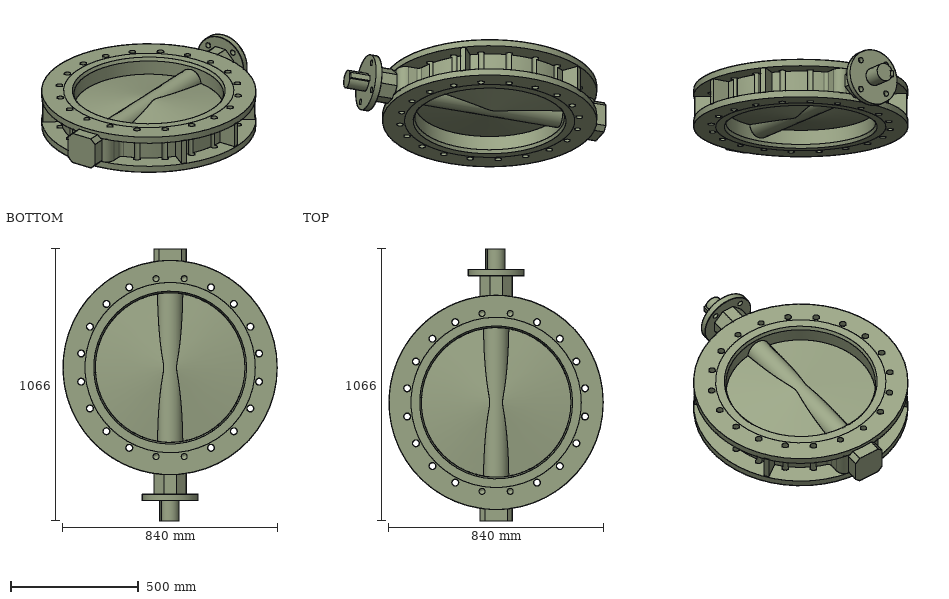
import cadquery as cq
import math

OVERALL_LENGTH = 1066.0
FACE_TO_FACE = 154.0
FLANGE_RADIUS = 420.0
FLANGE_GAP = 100.0
WALL_RADIUS = 345.0

LINER_RADIUS = 334.0
BORE_RADIUS = 293.0
BORE_BEVEL_RADIAL = 6.0
BORE_BEVEL_AXIAL = 14.0

BOLT_CIRCLE_RADIUS = 353.0
BOLT_COUNT = 20
BOLT_HOLE_RADIUS = 13.0
TAPPED_HOLE_RADIUS = 12.0
TAPPED_HOLE_DEPTH = 43.0
DRILL_POINT_ANGLE = 118.0

RIB_ANGLES = (0, 36, 144, 216, 324)
RIB_THICKNESS = 20.0
RIB_TIP_RADIUS = 416.0

BOSS_HALF_WIDTH = 95.0
BOSS_REACH = 415.0
BOSS_CORNER_RADIUS = 36.0
BOSS_ROOT_RADIUS = 16.0

NECK_WIDTH = 127.0
NECK_CHAMFER = 39.0
HUB_CHAMFER = 19.0
HUB_END = -465.0
STEM_END = OVERALL_LENGTH + HUB_END

TOP_FLANGE_RADIUS = 110.0
TOP_FLANGE_THICKNESS = 26.0
TOP_FLANGE_CHAMFER = 1.0
TOP_FLANGE_FACE = 521.0
ACTUATOR_BOLT_CIRCLE_RADIUS = 83.0
ACTUATOR_HOLE_RADIUS = 11.0

STEM_RADIUS = 35.0
STEM_FOOT = -405.0
KEY_WIDTH = 22.0
KEY_HEIGHT = 14.0
KEY_PROJECTION = 6.0

DISC_HUB_RADIUS = 50.0
DISC_RIM_HALF_THICKNESS = 5.0
DISC_APEX_HEIGHT = 47.0

HALF_HEIGHT = FACE_TO_FACE / 2
BOLT_PITCH = 360.0 / BOLT_COUNT
WALL_MIDDLE = (LINER_RADIUS + WALL_RADIUS) / 2
KEY_OUTER = STEM_RADIUS + KEY_PROJECTION


def cylinder_along_z(radius, bottom, top):
    """Solid cylinder along Z."""
    return cq.Workplane("XY").workplane(offset=bottom).circle(radius).extrude(top - bottom)


def rod_along_y(radius, start, end, x=0, z=0):
    """Solid cylinder along Y."""
    base = cq.Vector(x, start, z)
    return cq.Workplane(cq.Solid.makeCylinder(radius, end - start, base, cq.Vector(0, 1, 0)))


def octagon_along_y(chamfer, start, end):
    """Square bar along Y with its four long edges chamfered."""
    middle = (start + end) / 2
    bar = cq.Workplane("XY").box(NECK_WIDTH, end - start, NECK_WIDTH)
    return bar.edges("|Y").chamfer(chamfer).translate((0, middle, 0))


def ring_wall():
    """Wall between the flanges, thickened into rounded bosses at the stem."""
    half_gap = FLANGE_GAP / 2
    bosses = cq.Workplane("XY").box(2 * BOSS_HALF_WIDTH, 2 * BOSS_REACH, FLANGE_GAP)
    bosses = bosses.edges("|Z").fillet(BOSS_CORNER_RADIUS)
    wall = cylinder_along_z(WALL_RADIUS, -half_gap, half_gap).union(bosses)
    root_y = math.sqrt(WALL_RADIUS**2 - BOSS_HALF_WIDTH**2)
    for x in (-BOSS_HALF_WIDTH, BOSS_HALF_WIDTH):
        for y in (-root_y, root_y):
            root_edge = cq.selectors.NearestToPointSelector((x, y, 0))
            wall = wall.edges("|Z").edges(root_edge).fillet(BOSS_ROOT_RADIUS)
    return wall


def rib(angle):
    """Radial web between the flanges."""
    length = RIB_TIP_RADIUS - WALL_MIDDLE
    web = cq.Workplane("XY").box(length, RIB_THICKNESS, FLANGE_GAP)
    web = web.translate((WALL_MIDDLE + length / 2, 0, 0))
    return web.rotate((0, 0, 0), (0, 0, 1), angle)


def tapped_hole():
    """Blind hole with a drill point, cut down from the upper flange face."""
    point_depth = TAPPED_HOLE_RADIUS / math.tan(math.radians(DRILL_POINT_ANGLE / 2))
    shoulder = HALF_HEIGHT - TAPPED_HOLE_DEPTH
    profile = [
        (0, HALF_HEIGHT),
        (TAPPED_HOLE_RADIUS, HALF_HEIGHT),
        (TAPPED_HOLE_RADIUS, shoulder),
        (0, shoulder - point_depth),
    ]
    return cq.Workplane("XZ").polyline(profile).close().revolve(360, (0, 0), (0, 1))


def cut_flange_holes(body):
    """Holes straddle the axes; the four beside the stem are blind and tapped from both faces."""
    for index in range(BOLT_COUNT):
        angle = math.radians((index + 0.5) * BOLT_PITCH)
        x = BOLT_CIRCLE_RADIUS * math.cos(angle)
        y = BOLT_CIRCLE_RADIUS * math.sin(angle)
        if abs(x) < BOSS_HALF_WIDTH:
            upper = tapped_hole().translate((x, y, 0))
            body = body.cut(upper).cut(upper.mirror("XY"))
        else:
            hole = cylinder_along_z(BOLT_HOLE_RADIUS, -HALF_HEIGHT, HALF_HEIGHT)
            body = body.cut(hole.translate((x, y, 0)))
    return body


def actuator_flange():
    """Round flange at the end of the neck with four bolt holes."""
    inner_face = TOP_FLANGE_FACE - TOP_FLANGE_THICKNESS
    plate = rod_along_y(TOP_FLANGE_RADIUS, inner_face, TOP_FLANGE_FACE)
    plate = plate.faces("<Y").chamfer(TOP_FLANGE_CHAMFER)
    offset = ACTUATOR_BOLT_CIRCLE_RADIUS * math.sqrt(0.5)
    for x in (-offset, offset):
        for z in (-offset, offset):
            plate = plate.cut(rod_along_y(ACTUATOR_HOLE_RADIUS, inner_face, TOP_FLANGE_FACE, x, z))
    return plate


def make_housing():
    body = ring_wall()
    body = body.union(cylinder_along_z(FLANGE_RADIUS, FLANGE_GAP / 2, HALF_HEIGHT))
    body = body.union(cylinder_along_z(FLANGE_RADIUS, -HALF_HEIGHT, -FLANGE_GAP / 2))
    for angle in RIB_ANGLES:
        body = body.union(rib(angle))
    body = body.union(octagon_along_y(NECK_CHAMFER, WALL_MIDDLE, TOP_FLANGE_FACE - TOP_FLANGE_THICKNESS))
    body = body.union(octagon_along_y(HUB_CHAMFER, HUB_END, -WALL_MIDDLE))
    body = body.union(actuator_flange())
    body = cut_flange_holes(body)
    body = body.cut(cylinder_along_z(LINER_RADIUS, -HALF_HEIGHT, HALF_HEIGHT))
    return body.cut(rod_along_y(STEM_RADIUS, STEM_FOOT, TOP_FLANGE_FACE))


def make_liner():
    """Sleeve in the housing with a bevelled bore mouth on both faces."""
    mouth = BORE_RADIUS + BORE_BEVEL_RADIAL
    bevel_end = HALF_HEIGHT - BORE_BEVEL_AXIAL
    profile = [
        (LINER_RADIUS, -HALF_HEIGHT),
        (LINER_RADIUS, HALF_HEIGHT),
        (mouth, HALF_HEIGHT),
        (BORE_RADIUS, bevel_end),
        (BORE_RADIUS, -bevel_end),
        (mouth, -HALF_HEIGHT),
    ]
    sleeve = cq.Workplane("XZ").polyline(profile).close().revolve(360, (0, 0), (0, 1))
    return sleeve.cut(rod_along_y(STEM_RADIUS, -LINER_RADIUS, LINER_RADIUS))


def make_disc():
    """Double-cone closing disc with a round hub along the stem."""
    profile = [
        (0, -DISC_APEX_HEIGHT),
        (BORE_RADIUS, -DISC_RIM_HALF_THICKNESS),
        (BORE_RADIUS, DISC_RIM_HALF_THICKNESS),
        (0, DISC_APEX_HEIGHT),
    ]
    cones = cq.Workplane("XZ").polyline(profile).close().revolve(360, (0, 0), (0, 1))
    hub = rod_along_y(DISC_HUB_RADIUS, -BORE_RADIUS, BORE_RADIUS)
    hub = hub.intersect(cylinder_along_z(BORE_RADIUS, -HALF_HEIGHT, HALF_HEIGHT))
    return cones.union(hub).cut(rod_along_y(STEM_RADIUS, -BORE_RADIUS, BORE_RADIUS))


def make_key():
    """Key on the -X side of the stem, along the length outside the actuator flange."""
    length = STEM_END - TOP_FLANGE_FACE
    bar = cq.Workplane("XY").box(KEY_HEIGHT, length, KEY_WIDTH)
    return bar.translate((KEY_HEIGHT / 2 - KEY_OUTER, TOP_FLANGE_FACE + length / 2, 0))


def make_stem(key):
    return rod_along_y(STEM_RADIUS, STEM_FOOT, STEM_END).cut(key)


housing = make_housing()
liner = make_liner()
disc = make_disc()
key = make_key()
stem = make_stem(key)

result = cq.Compound.makeCompound([housing.val(), liner.val(), disc.val(), stem.val(), key.val()])